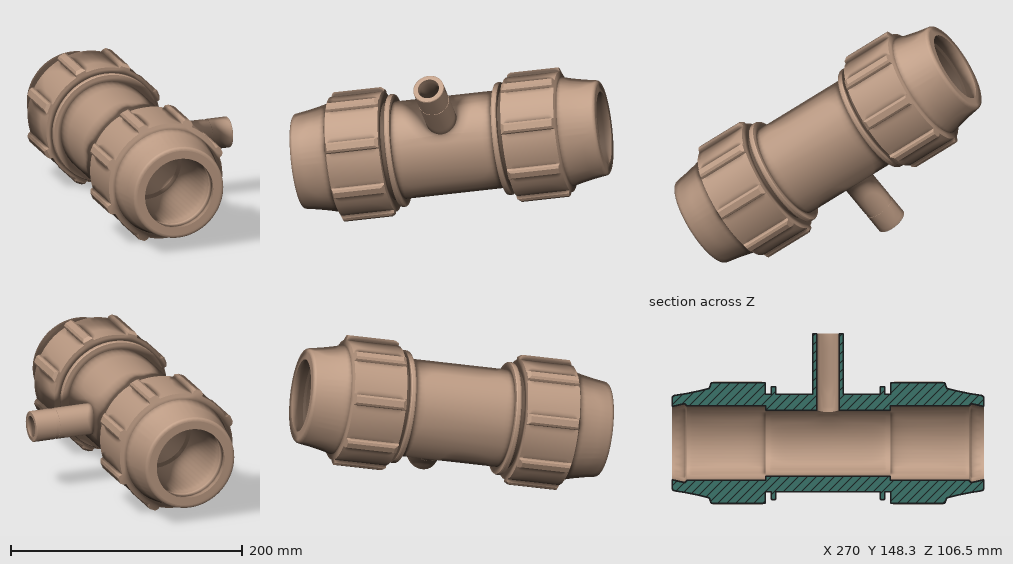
import cadquery as cq

half_length = 135.0
body_radius = 84.8 / 2
bore_radius = 56.7 / 2

socket_mouth_radius = 63.0 / 2
socket_flare_radius = 34.0
socket_flare_depth = 11.0
socket_neck_length = 2.0
socket_radius = 32.0

nut_inner_x = 54.3
nut_outer_x = 103.0
nut_radius = 52.5
rib_count = 8
rib_tip_radius = 56.5
rib_tip_width = 5.5
rib_shoulder_radius = 54.8
rib_shoulder_width = 9.0
rib_base_width = 9.7
rib_root_radius = 48.5
rib_inner_slope_length = 3.0
rib_inner_end_radius = 54.3
nut_face_slope_length = 3.2

cap_large_radius = 47.5
cap_middle_radius = 43.7
cap_small_radius = 82.4 / 2
cap_fillet = 3.0

collar_radius = 98.3 / 2
collar_inner_x = 45.0
collar_outer_x = 49.5
collar_bevel_length = 1.0
collar_bevel_height = 0.5

branch_tip_y = 95.0
branch_radius = 27.0 / 2
branch_bore_radius = 18.5 / 2
branch_chamfer = 0.5
groove_radius = 26.5 / 2
groove_width = 3.2
groove_to_tip = 18.5


def cylinder_x(radius, start, end):
    """Solid cylinder around the X axis between two X positions."""
    return cq.Workplane("YZ").workplane(offset=start).circle(radius).extrude(end - start)


def cylinder_y(radius, start, end):
    """Solid cylinder around the Y axis between two Y positions."""
    return cq.Workplane("XZ").workplane(offset=-start).circle(radius).extrude(start - end)


def revolve_x(outline):
    """Turn an outline in the XY plane into a solid around the X axis."""
    return outline.close().revolve(360, (0, 0, 0), (1, 0, 0))


def make_rib():
    """One bevelled grip rib, standing on the nut along +Z."""
    rib = (
        cq.Workplane("YZ")
        .workplane(offset=nut_inner_x)
        .moveTo(-rib_base_width / 2, rib_root_radius)
        .lineTo(-rib_base_width / 2, nut_radius)
        .lineTo(-rib_shoulder_width / 2, rib_shoulder_radius)
        .lineTo(-rib_tip_width / 2, rib_tip_radius)
        .lineTo(rib_tip_width / 2, rib_tip_radius)
        .lineTo(rib_shoulder_width / 2, rib_shoulder_radius)
        .lineTo(rib_base_width / 2, nut_radius)
        .lineTo(rib_base_width / 2, rib_root_radius)
        .close()
        .extrude(nut_outer_x - nut_inner_x)
    )
    inner_slope = (
        cq.Workplane("XZ")
        .moveTo(nut_inner_x, rib_inner_end_radius)
        .lineTo(nut_inner_x + rib_inner_slope_length, rib_tip_radius)
        .lineTo(nut_inner_x, rib_tip_radius)
        .close()
        .extrude(rib_base_width / 2, both=True)
    )
    return rib.cut(inner_slope)


def make_nut():
    """Ribbed nut whose outer face is a shallow cone that also trims the rib ends."""
    nut = cylinder_x(nut_radius, nut_inner_x, nut_outer_x)
    rib = make_rib()
    pitch = 360 / rib_count
    for index in range(rib_count):
        angle = pitch * (index + 0.5)
        nut = nut.union(rib.rotate((0, 0, 0), (1, 0, 0), angle))
    envelope = revolve_x(
        cq.Workplane("XY")
        .moveTo(nut_inner_x, 0)
        .lineTo(nut_outer_x, 0)
        .lineTo(nut_outer_x, cap_large_radius)
        .lineTo(nut_outer_x - nut_face_slope_length, rib_tip_radius)
        .lineTo(nut_outer_x - nut_face_slope_length, 2 * rib_tip_radius)
        .lineTo(nut_inner_x, 2 * rib_tip_radius)
    )
    return nut.intersect(envelope)


def make_cap():
    """Slightly hollow-curved taper from the nut to the rounded pipe end."""
    cap = revolve_x(
        cq.Workplane("XY")
        .moveTo(nut_inner_x, 0)
        .lineTo(nut_inner_x, cap_large_radius)
        .lineTo(nut_outer_x, cap_large_radius)
        .threePointArc(
            ((nut_outer_x + half_length) / 2, cap_middle_radius),
            (half_length, cap_small_radius),
        )
        .lineTo(half_length, 0)
    )
    return cap.faces(">X").edges().fillet(cap_fillet)


def make_collar():
    """Thin collar around the pipe with bevelled rims."""
    shoulder_radius = collar_radius - collar_bevel_height
    return revolve_x(
        cq.Workplane("XY")
        .moveTo(collar_inner_x, 0)
        .lineTo(collar_inner_x, shoulder_radius)
        .lineTo(collar_inner_x + collar_bevel_length, collar_radius)
        .lineTo(collar_outer_x - collar_bevel_length, collar_radius)
        .lineTo(collar_outer_x, shoulder_radius)
        .lineTo(collar_outer_x, 0)
    )


def make_branch():
    """Branch pipe with a chamfered tip and a shallow groove."""
    branch = cylinder_y(branch_radius, 0, branch_tip_y).faces(">Y").chamfer(branch_chamfer)
    groove_end = branch_tip_y - groove_to_tip
    groove_start = groove_end - groove_width
    groove = cylinder_y(2 * branch_radius, groove_start, groove_end)
    groove = groove.cut(cylinder_y(groove_radius, groove_start, groove_end))
    return branch.cut(groove)


def make_socket():
    """Stepped cavity from the pipe end to the stop level with the inner face of the nut."""
    flare_x = half_length - socket_flare_depth
    neck_x = flare_x - socket_neck_length
    return revolve_x(
        cq.Workplane("XY")
        .moveTo(half_length, 0)
        .lineTo(half_length, socket_mouth_radius)
        .lineTo(flare_x, socket_flare_radius)
        .lineTo(neck_x, socket_radius)
        .lineTo(nut_inner_x, socket_radius)
        .lineTo(nut_inner_x, 0)
    )


end_fitting = make_nut().union(make_cap()).union(make_collar())
result = cylinder_x(body_radius, -nut_outer_x, nut_outer_x)
result = result.union(end_fitting).union(end_fitting.mirror("YZ")).union(make_branch())

socket = make_socket()
result = result.cut(cylinder_x(bore_radius, -half_length, half_length))
result = result.cut(socket).cut(socket.mirror("YZ"))
result = result.cut(cylinder_y(branch_bore_radius, 0, branch_tip_y))